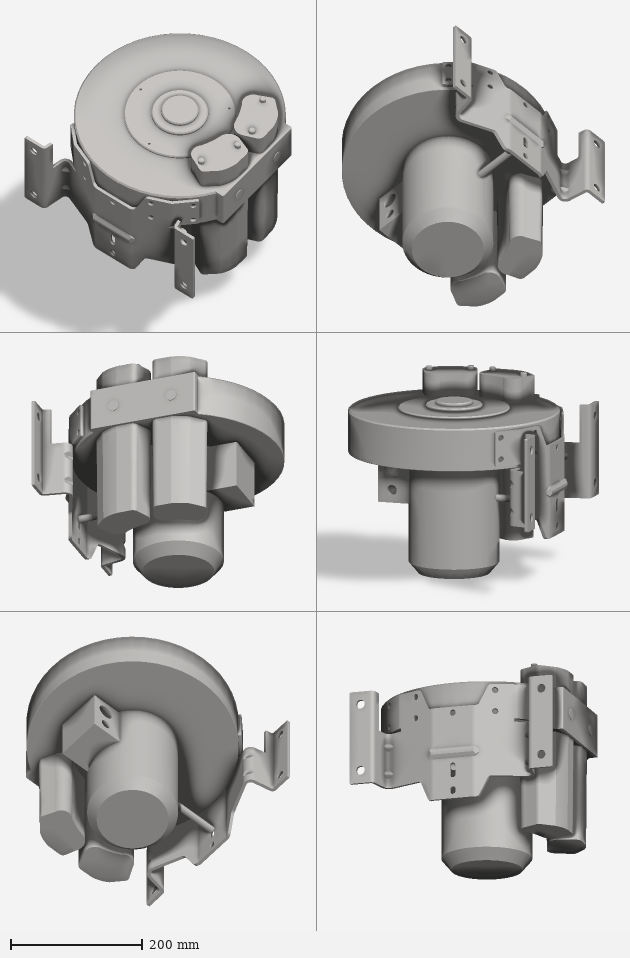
import cadquery as cq
import math

housing_radius = 161.8
housing_height = 66.0
housing_top_chamfer = 2.5
housing_bottom_chamfer = 0.7

cover_steps = [(85.3, 69.7), (43.3, 74.5), (28.5, 79.5)]
cover_chamfer = 1.7
cover_hole_circle_radius = 75.8
cover_hole_radius = 2.0
cover_hole_depth = 2.7
cover_hole_angles = (45, 180, 270)

port_block_reach = 150.3
port_block_start = 101.5
port_block_width = 171.3
port_block_corner = 2.7
pad_radius = 8.5
pad_thickness = 1.5
pad_offset = 47.0

cap_top = 102.5
silencer_collar = 9.5
silencer_bottom = -148.5
silencer_draft = 0.5
bolt_radius = 5.0
bolt_top = 108.5
bolt_chamfer = 1.0
bolt_places = [(101.0, 76.5), (125.5, 17.5)]

motor_radius = 69.5
motor_bottom = -188.0
motor_cone_top = -170.5
motor_bottom_radius = 54.8

box_width = 74.5
box_back = 110.0
box_front = 58.2
box_top = -4.0
box_bottom = -79.0
entry_y = 87.3
entries = [(12.5, -27.5), (7.8, -59.2)]
entry_depth = 13.5
drill_tip_angle = 118

rod_radius = 5.5
rod_height = -67.7

sheet = 5.0
wing_angle = 22.5
tab_angle = 2 * wing_angle
tab_length_past_contact = 9.0
facet_bend_radius = 10
bracket_top = 60.0
bracket_bottom = -85.0
bracket_half_width = 162.5
tab_bottom = 6.0
tab_corner = 2.5

foot_bottom = -176.7
leg_slope_angle = 11
leg_top_x = 117.5
leg_bend_radius = 10
foot_bend_radius = 5.0
foot_corner = 2.5
relief_half_width = 90.5
relief_bottom = 0.7
relief_front = -160.0
relief_corner = 2.7

trapezoid_wide_half = 55.0
trapezoid_narrow_half = 39.5
trapezoid_height = 34
trapezoid_corner = 6.0

hole_radius = 4.7
upper_hole_height = 50.0
lower_hole_height = 16.5
slot_length = 23.0
slot_height = -74.0
short_slot_length = 12.0
short_slot_height = -106.0
foot_hole_radius = 6.8
foot_hole_x = 145.0
foot_hole_heights = (40.0, -64.5)

rib_height = -46.2
rib_half_width = 8.63
rib_ridge_half_width = 2.0
rib_ridge_half_length = 34.5
rib_tip_half_length = 44
rib_projection = 4.0
gusset_heights = (-20.3, -63.3)
gusset_half_width = 9.5
gusset_ridge_half_width = 1.5
gusset_depth = 12.2
gusset_root_depth = 6.5
gusset_reach = 20.3


def polar(radius, angle):
    """Point at an angle in degrees measured from -Y towards +X."""
    turn = math.radians(angle)
    return cq.Vector(radius * math.sin(turn), -radius * math.cos(turn))


def rounded_outline(plane, corners):
    """Closed outline through (point, corner radius) pairs; a radius of 0 leaves a sharp corner."""
    count = len(corners)
    outline = cq.Workplane(plane)
    for i, (corner, radius) in enumerate(corners):
        to_last = (corners[i - 1][0] - corner).normalized()
        to_next = (corners[(i + 1) % count][0] - corner).normalized()
        half_angle = to_last.getAngle(to_next) / 2
        setback = radius / math.tan(half_angle)
        start = corner + to_last * setback
        end = corner + to_next * setback
        to_arc_middle = radius / math.sin(half_angle) - radius
        middle = corner + (to_last + to_next).normalized() * to_arc_middle
        outline = outline.lineTo(start.x, start.y) if i else outline.moveTo(start.x, start.y)
        if radius:
            outline = outline.threePointArc((middle.x, middle.y), (end.x, end.y))
    return outline.close()


def bent_sheet(path, bottom, top):
    """Sheet following a centre path of (point, bend radius) pairs, standing from bottom to top."""
    sides = {1: [], -1: []}
    last = len(path) - 1
    for i, (point, radius) in enumerate(path):
        into = (point - path[i - 1][0]).normalized() if i else None
        out = (path[i + 1][0] - point).normalized() if i < last else into
        into = into or out
        turn = math.copysign(1, into.cross(out).z)
        left_in = cq.Vector(-into.y, into.x)
        left_out = cq.Vector(-out.y, out.x)
        miter = (left_in + left_out) / (1 + left_in.dot(left_out))
        for side, corners in sides.items():
            shift = side * sheet / 2
            side_radius = radius - turn * shift if radius else 0
            corners.append((point + miter * shift, side_radius))
    outline = sides[1] + sides[-1][::-1]
    return rounded_outline("XY", outline).extrude(top - bottom).translate((0, 0, bottom))


def mirrored_path(half_path):
    """Full path made of a +X half, listed from the middle outwards, and its mirror image."""
    mirror = [(cq.Vector(-p.x, p.y), radius) for p, radius in reversed(half_path)]
    return mirror + half_path


def both_sides(solid, plane):
    """A solid together with its mirror image."""
    return solid.union(solid.mirror(plane))




def make_housing():
    drum = cq.Workplane("XY").circle(housing_radius).extrude(housing_height)
    drum = drum.faces(">Z").chamfer(housing_top_chamfer).faces("<Z").chamfer(housing_bottom_chamfer)
    block_length = port_block_reach - port_block_start
    block = (
        cq.Workplane("XY")
        .box(block_length, port_block_width, housing_height, centered=(False, True, False))
        .translate((port_block_start, 0, 0))
        .edges("|Z and >X")
        .fillet(port_block_corner)
    )
    pads = (
        cq.Workplane("YZ", origin=(port_block_reach, 0, housing_height / 2))
        .pushPoints([(pad_offset, 0), (-pad_offset, 0)])
        .circle(pad_radius)
        .extrude(pad_thickness)
    )
    beyond_block = (
        cq.Workplane("XY")
        .box(housing_radius, port_block_width, housing_height, centered=(False, True, False))
        .translate((port_block_reach, 0, 0))
    )
    return drum.cut(beyond_block).union(block).union(pads)


def make_cover():
    cover = cq.Workplane("XY")
    base = housing_height
    for radius, top in cover_steps:
        step = cq.Workplane("XY", origin=(0, 0, base)).circle(radius).extrude(top - base)
        cover = cover.union(step.faces(">Z").chamfer(cover_chamfer))
        base = top
    turns = [math.radians(angle) for angle in cover_hole_angles]
    places = [
        (cover_hole_circle_radius * math.cos(turn), cover_hole_circle_radius * math.sin(turn))
        for turn in turns
    ]
    disc_top = cover_steps[0][1]
    holes = (
        cq.Workplane("XY", origin=(0, 0, disc_top - cover_hole_depth))
        .pushPoints(places)
        .circle(cover_hole_radius)
        .extrude(cover_hole_depth)
    )
    return cover.cut(holes)


def silencer_outline(height):
    """Kidney outline on the +Y side, its inner flank hollow around the cover."""
    return (
        cq.Workplane("XY", origin=(0, 0, height))
        .moveTo(88.5, 80.0)
        .lineTo(106.3, 88.7)
        .threePointArc((111.0, 90.0), (115.5, 88.5))
        .lineTo(134.5, 71.5)
        .threePointArc((141.0, 59.0), (145.2, 44.7))
        .lineTo(145.5, 22.0)
        .threePointArc((144.2, 16.5), (139.8, 12.5))
        .lineTo(118.5, 4.0)
        .threePointArc((101.5, 5.8), (92.5, 19.5))
        .threePointArc((87.5, 35.2), (80.5, 50.5))
        .threePointArc((75.5, 65.5), (88.5, 80.0))
        .close()
    )


def make_silencer():
    cap = silencer_outline(housing_height).extrude(cap_top - housing_height)
    bolts = (
        cq.Workplane("XY", origin=(0, 0, cap_top))
        .pushPoints(bolt_places)
        .circle(bolt_radius)
        .extrude(bolt_top - cap_top)
        .faces(">Z")
        .chamfer(bolt_chamfer)
    )
    collar = silencer_outline(0).extrude(-silencer_collar)
    tube_length = silencer_bottom + silencer_collar
    tube = silencer_outline(-silencer_collar).extrude(tube_length, taper=silencer_draft)
    return cap.union(bolts).union(collar).union(tube)


def make_motor():
    profile = [
        (0, 0),
        (motor_radius, 0),
        (motor_radius, motor_cone_top),
        (motor_bottom_radius, motor_bottom),
        (0, motor_bottom),
    ]
    return cq.Workplane("XZ").polyline(profile).close().revolve(360, (0, 0, 0), (0, 1, 0))


def make_terminal_box():
    box = (
        cq.Workplane("XY")
        .box(box_width, box_back - box_front, box_top - box_bottom, centered=(True, False, False))
        .translate((0, box_front, box_bottom))
    )
    for radius, height in entries:
        tip_depth = radius / math.tan(math.radians(drill_tip_angle / 2))
        profile = [(0, 0), (radius, 0), (radius, entry_depth), (0, entry_depth + tip_depth)]
        bore = (
            cq.Workplane("XY")
            .polyline(profile)
            .close()
            .revolve(360, (0, 0, 0), (0, 1, 0))
            .rotate((0, 0, 0), (0, 0, 1), -90)
            .translate((-box_width / 2, entry_y, height))
        )
        box = box.cut(bore)
    return box


def make_rod():
    rod_start = motor_radius / 2
    return (
        cq.Workplane("XZ", origin=(0, -rod_start, rod_height))
        .circle(rod_radius)
        .extrude(housing_radius - rod_start)
    )


def make_blower():
    blower = make_housing().union(make_cover()).union(make_motor())
    blower = blower.union(both_sides(make_silencer(), "XZ"))
    return blower.union(make_rod()).union(make_terminal_box())



centre_distance = housing_radius + sheet / 2
wing_start = polar(centre_distance / math.cos(math.radians(wing_angle / 2)), wing_angle / 2)
tab_half_turn = (tab_angle - wing_angle) / 2
tab_start = polar(centre_distance / math.cos(math.radians(tab_half_turn)), wing_angle + tab_half_turn)
tab_end = polar(centre_distance, tab_angle) + polar(tab_length_past_contact, tab_angle + 90)
wing_rise = math.tan(math.radians(wing_angle))
leg_top = cq.Vector(leg_top_x, wing_start.y + (leg_top_x - wing_start.x) * wing_rise)
foot_centre_y = foot_bottom + sheet / 2
leg_foot_x = leg_top_x + (leg_top.y - foot_centre_y) * math.tan(math.radians(leg_slope_angle))
leg_foot = cq.Vector(leg_foot_x, foot_centre_y)
foot_end = cq.Vector(bracket_half_width, foot_centre_y)
flap_bottom = bracket_bottom - trapezoid_height


def make_tabs():
    half_path = [(wing_start, facet_bend_radius), (tab_start, facet_bend_radius), (tab_end, 0)]
    tabs = bent_sheet(mirrored_path(half_path), tab_bottom, bracket_top)
    for angle in (tab_angle, -tab_angle):
        through_sheet = cq.selectors.ParallelDirSelector(polar(1, angle))
        corners = tabs.edges(through_sheet).filter(lambda edge: edge.Length() < 1.1 * sheet)
        tabs = corners.fillet(tab_corner)
    return tabs


def make_legs():
    """Middle, wings, legs and feet, with the legs lowered to leave room under the tabs."""
    half_path = [
        (wing_start, facet_bend_radius),
        (leg_top, leg_bend_radius),
        (leg_foot, foot_bend_radius),
        (foot_end, 0),
    ]
    legs = bent_sheet(mirrored_path(half_path), flap_bottom, bracket_top)
    relief = (
        cq.Workplane("XY")
        .box(
            bracket_half_width - relief_half_width,
            housing_radius,
            bracket_top - relief_bottom,
            centered=False,
        )
        .edges("|X and <Y and <Z")
        .fillet(relief_corner)
        .translate((relief_half_width, relief_front, relief_bottom))
    )
    return legs.cut(both_sides(relief, "YZ"))


def make_front_outline():
    """Prism along Y that trims the sheet to its outline, notch at the top and flap at the bottom."""
    half_outline = [
        (trapezoid_narrow_half, bracket_top - trapezoid_height, trapezoid_corner),
        (trapezoid_wide_half, bracket_top, trapezoid_corner),
        (bracket_half_width, bracket_top, foot_corner),
        (bracket_half_width, bracket_bottom, foot_corner),
        (trapezoid_wide_half, bracket_bottom, trapezoid_corner),
        (trapezoid_narrow_half, flap_bottom, trapezoid_corner),
    ]
    right = [(cq.Vector(x, z), radius) for x, z, radius in half_outline]
    left = [(cq.Vector(-x, z), radius) for x, z, radius in reversed(half_outline)]
    return rounded_outline("XZ", right + left).extrude(-foot_bottom)


def radial_hole(angle, height, radius, length=0):
    """Cutter through the sheet facet at the given angle; a length makes it an upright slot."""
    sketch = cq.Workplane("XZ", origin=(0, -housing_radius + sheet, height))
    outline = sketch.slot2D(length, 2 * radius, 90) if length else sketch.circle(radius)
    return outline.extrude(3 * sheet).rotate((0, 0, 0), (0, 0, 1), angle)


def make_holes():
    holes = radial_hole(0, lower_hole_height, hole_radius)
    holes = holes.union(radial_hole(0, slot_height, hole_radius, slot_length))
    holes = holes.union(radial_hole(0, short_slot_height, hole_radius, short_slot_length))
    for angle in (-tab_angle, -wing_angle, wing_angle, tab_angle):
        for height in (upper_hole_height, lower_hole_height):
            holes = holes.union(radial_hole(angle, height, hole_radius))
    foot_hole_places = [(side * foot_hole_x, z) for side in (-1, 1) for z in foot_hole_heights]
    foot_holes = (
        cq.Workplane("XZ", origin=(0, foot_bottom + sheet, 0))
        .pushPoints(foot_hole_places)
        .circle(foot_hole_radius)
        .extrude(sheet)
    )
    return holes.union(foot_holes)


def make_rib():
    """Ridge pressed outwards across the flat middle, with hipped ends that die into the wings."""
    outer_face = housing_radius + sheet
    ridge = outer_face + rib_projection
    plan = [
        (-rib_tip_half_length, -housing_radius),
        (-rib_ridge_half_length, -ridge),
        (rib_ridge_half_length, -ridge),
        (rib_tip_half_length, -housing_radius),
    ]
    front = [
        (-rib_tip_half_length, 0),
        (-rib_ridge_half_length, rib_half_width),
        (rib_ridge_half_length, rib_half_width),
        (rib_tip_half_length, 0),
        (rib_ridge_half_length, -rib_half_width),
        (-rib_ridge_half_length, -rib_half_width),
    ]
    section = [
        (-outer_face, -rib_half_width),
        (-ridge, -rib_ridge_half_width),
        (-ridge, rib_ridge_half_width),
        (-outer_face, rib_half_width),
        (-housing_radius - sheet / 2, rib_half_width),
        (-housing_radius - sheet / 2, -rib_half_width),
    ]
    plan_prism = cq.Workplane("XY").polyline(plan).close().extrude(rib_half_width, both=True)
    section_prism = cq.Workplane("YZ").polyline(section).close().extrude(rib_tip_half_length, both=True)
    front_prism = cq.Workplane("XZ").polyline(front).close().extrude(-foot_bottom)
    return plan_prism.intersect(section_prism).intersect(front_prism).translate((0, 0, rib_height))


def make_gusset_wedge(height, shift):
    """Flat-topped wedge across the bend between wing and leg, moved by a shift along its bisector."""
    to_wing = (wing_start - leg_top).normalized()
    to_foot = (leg_foot - leg_top).normalized()
    bisector = (to_wing + to_foot).normalized()
    across = cq.Plane(
        origin=(leg_top + bisector * shift + cq.Vector(0, 0, height)).toTuple(),
        xDir=bisector.toTuple(),
        normal=bisector.cross(cq.Vector(0, 0, 1)).toTuple(),
    )
    section = [
        (gusset_root_depth, -gusset_half_width),
        (gusset_depth, -gusset_ridge_half_width),
        (gusset_depth, gusset_ridge_half_width),
        (gusset_root_depth, gusset_half_width),
    ]
    return cq.Workplane(across).polyline(section).close().extrude(gusset_reach, both=True)


def make_gusset_bounds(height):
    """Triangular prism inside the bend, between the sheet's centre lines."""
    wing_point = leg_top + (wing_start - leg_top).normalized() * gusset_reach
    foot_point = leg_top + (leg_foot - leg_top).normalized() * gusset_reach
    corners = [(p.x, p.y) for p in (leg_top, wing_point, foot_point)]
    plane = cq.Workplane("XY", origin=(0, 0, height))
    return plane.polyline(corners).close().extrude(gusset_half_width, both=True)


def make_bracket():
    bracket = make_tabs().union(make_legs()).intersect(make_front_outline())
    bracket = bracket.union(make_rib())
    for height in gusset_heights:
        bump = make_gusset_wedge(height, 0).intersect(make_gusset_bounds(height))
        dent = make_gusset_wedge(height, -sheet)
        bracket = bracket.union(both_sides(bump, "YZ")).cut(both_sides(dent, "YZ"))
    return bracket.cut(make_holes())


blower = make_blower()
bracket = make_bracket()
result = cq.Compound.makeCompound([blower.val(), bracket.val()])